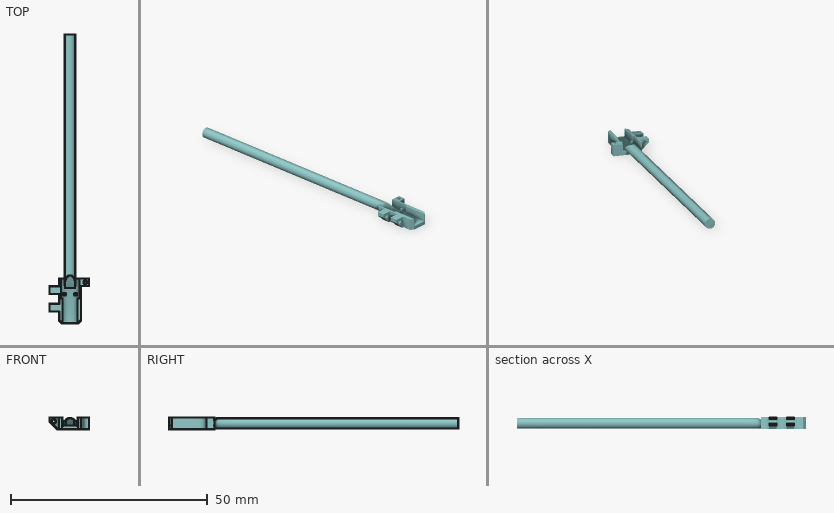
import cadquery as cq

part_width = 10.14
part_length = 73.48
height = 3.0

tray_width = 5.6
tray_length = 11.47
floor_thickness = 0.95
corner_chamfer = 0.75

front_channel_width = 3.8
back_channel_width = 4.7
channel_step_y = 6.3

rod_diameter = 2.7
ramp_top_y = 12.2
ramp_foot_y = 9.0

pin_diameter = 0.7
pin_spacing = 2.84
pin_y = 7.4
pin_top = 2.15

lug_length = 2.0
left_lug_reach = 2.47
left_lug_centers_y = (4.0, 8.45)
left_lug_edge_height = 0.95
left_hole_diameter = 1.0
left_hole_inset = 1.12
left_hole_drop = 0.95
right_lug_reach = part_width - tray_width - left_lug_reach
right_hole_diameter = 0.77
right_hole_inset = 1.0


def box(x_min, x_max, y_min, y_max, z_min, z_max):
    """Axis-aligned block between the given limits."""
    size = (x_max - x_min, y_max - y_min, z_max - z_min)
    return cq.Workplane("XY").box(*size, centered=False).translate((x_min, y_min, z_min))


def make_tray():
    """Floor with two side walls, open at both ends, front corners chamfered."""
    half_width = tray_width / 2
    tray = box(-half_width, half_width, 0, tray_length, 0, height)
    tray = tray.faces("<Y").edges("|Z").chamfer(corner_chamfer)
    for width, y_min, y_max in (
        (front_channel_width, 0, channel_step_y),
        (back_channel_width, channel_step_y, tray_length),
    ):
        tray = tray.cut(box(-width / 2, width / 2, y_min, y_max, floor_thickness, height))
    return tray


def make_rod():
    """Round rod along Y whose front end is cut to a slope above the floor."""
    radius = rod_diameter / 2
    rod_top = height / 2 + radius
    rod = (
        cq.Workplane("XZ", origin=(0, ramp_foot_y, height / 2))
        .circle(radius)
        .extrude(ramp_foot_y - part_length)
    )
    above_ramp = (
        cq.Workplane("YZ")
        .polyline([(ramp_foot_y, floor_thickness), (ramp_top_y, rod_top), (ramp_foot_y, rod_top)])
        .close()
        .extrude(radius, both=True)
    )
    return rod.cut(above_ramp)


def make_pins():
    """Pair of upright pins rising from the floor."""
    return (
        cq.Workplane("XY")
        .pushPoints([(-pin_spacing / 2, pin_y), (pin_spacing / 2, pin_y)])
        .circle(pin_diameter / 2)
        .extrude(pin_top)
    )


def make_left_lug(center_y):
    """Lug on the left wall with a 45-degree underside and a hole along Y."""
    wall_x = -tray_width / 2
    tip_x = wall_x - left_lug_reach
    underside_rise = height - left_lug_edge_height
    outline = [
        (wall_x, 0),
        (tip_x + underside_rise, 0),
        (tip_x, underside_rise),
        (tip_x, height),
        (wall_x, height),
    ]
    plane = cq.Workplane("XZ", origin=(0, center_y, 0))
    lug = plane.polyline(outline).close().extrude(lug_length / 2, both=True)
    hole = (
        plane.center(tip_x + left_hole_inset, height - left_hole_drop)
        .circle(left_hole_diameter / 2)
        .extrude(lug_length / 2, both=True)
    )
    return lug.cut(hole)


def make_right_lug():
    """Full-height lug at the back of the right wall with an upright hole."""
    wall_x = tray_width / 2
    tip_x = wall_x + right_lug_reach
    lug = box(wall_x, tip_x, tray_length - lug_length, tray_length, 0, height)
    hole = (
        cq.Workplane("XY")
        .center(tip_x - right_hole_inset, tray_length - lug_length / 2)
        .circle(right_hole_diameter / 2)
        .extrude(height)
    )
    return lug.cut(hole)


result = make_tray().union(make_rod()).union(make_pins()).union(make_right_lug())
for lug_center_y in left_lug_centers_y:
    result = result.union(make_left_lug(lug_center_y))